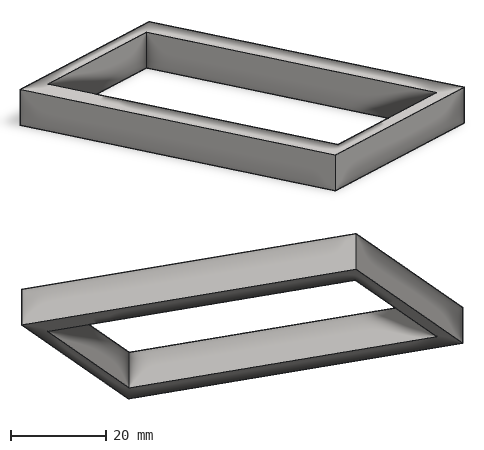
import cadquery as cq

length = 78.3
width = 51.0
height = 8.0

end_wall = 3.1
side_wall = 6.0

opening_length = length - 2 * end_wall
opening_width = width - 2 * side_wall

result = (
    cq.Workplane("XY")
    .rect(length, width)
    .rect(opening_length, opening_width)
    .extrude(height)
)